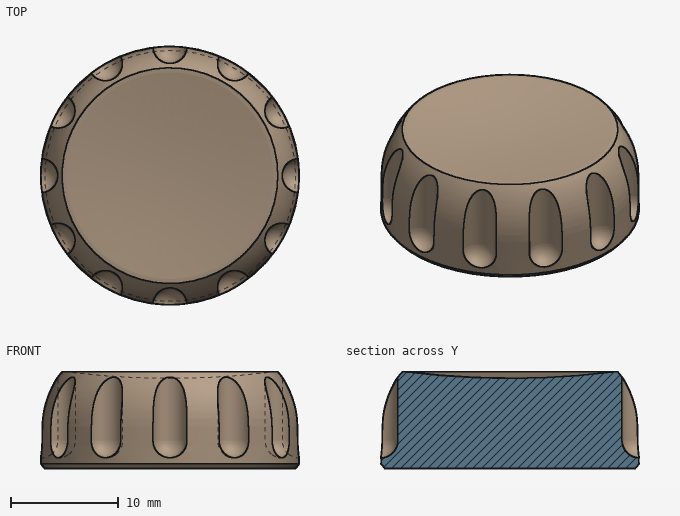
import cadquery as cq
import math

max_radius = 12.0
height = 9.0
bottom_chamfer_width = 0.35
bottom_chamfer_height = 0.43
shoulder_radius = 11.95
shoulder_height = 3.9
rim_outer_radius = 10.0

dish_radius = 9.6
dish_depth = 0.6

flute_count = 12
flute_radius = 1.58
flute_start_height = 2.6


def make_body():
    """Revolve the tapered skirt, the tangent crown and the flat top."""
    profile = (
        cq.Workplane("XZ")
        .lineTo(max_radius - bottom_chamfer_width, 0)
        .lineTo(max_radius, bottom_chamfer_height)
        .lineTo(shoulder_radius, shoulder_height)
        .tangentArcPoint((rim_outer_radius, height), relative=False)
        .lineTo(0, height)
        .close()
    )
    return profile.revolve(360, (0, 0, 0), (0, 1, 0))


def make_dish():
    """Sphere whose lower cap hollows the top to the dish depth."""
    sphere_radius = (dish_radius**2 + dish_depth**2) / (2 * dish_depth)
    center_height = height - dish_depth + sphere_radius
    return cq.Workplane("XY").sphere(sphere_radius).translate((0, 0, center_height))


def make_flute(angle):
    """Vertical cylinder with a hemispherical lower end, open at the top."""
    center = (
        max_radius * math.cos(angle),
        max_radius * math.sin(angle),
        flute_start_height,
    )
    shaft = cq.Workplane("XY").circle(flute_radius).extrude(height)
    lower_end = cq.Workplane("XY").sphere(flute_radius)
    return shaft.union(lower_end).translate(center)


result = make_body().cut(make_dish())
for index in range(flute_count):
    result = result.cut(make_flute(index * 2 * math.pi / flute_count))